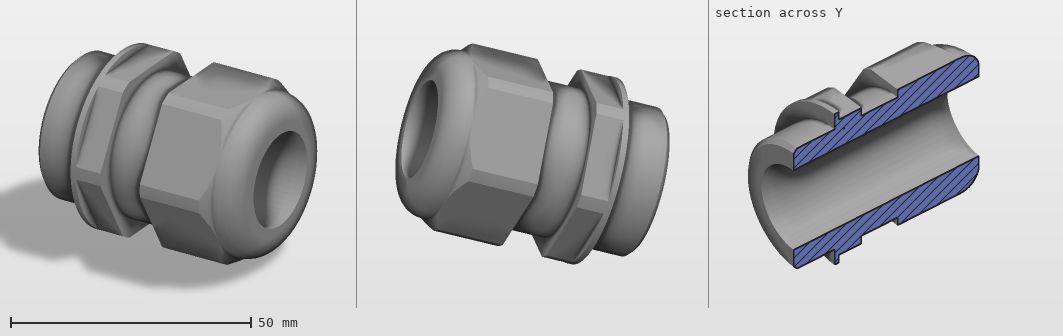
import cadquery as cq


total_length = 50.0
thread_chamfer = 1.0
flange_start = 11.0
flange_thickness = 1.3
body_hex_length = 6.0
nut_start = 28.0
nut_cone_start = 42.5
dome_radius = 5.0

bore_diameter = 21.0
thread_diameter = 32.0
flange_diameter = 40.0
hex_across_flats = 36.0
hex_turn = 30.0
dome_diameter = hex_across_flats

nut_cone_length = (flange_diameter - dome_diameter) / 2
nut_cone_end = nut_cone_start + nut_cone_length


def cylinder(start, end, diameter):
    """Round bar along X between two stations."""
    return cq.Workplane("YZ", origin=(start, 0, 0)).circle(diameter / 2).extrude(end - start)


def hexagon(start, end):
    """Hexagonal bar along X with flats facing up and down and its corners rounded off."""
    prism = (
        cq.Workplane("YZ", origin=(start, 0, 0))
        .transformed(rotate=(0, 0, hex_turn))
        .polygon(6, hex_across_flats, circumscribed=True)
        .extrude(end - start)
    )
    return prism.intersect(cylinder(start, end, flange_diameter))


def gland_body():
    """Chamfered thread barrel with its flange and wrench hexagon."""
    flange_end = flange_start + flange_thickness
    barrel = cylinder(0, nut_start, thread_diameter).faces("<X").chamfer(thread_chamfer)
    flange = cylinder(flange_start, flange_end, flange_diameter)
    return barrel.union(flange).union(hexagon(flange_end, flange_end + body_hex_length))


def cap_nut():
    """Hexagonal nut with tapered corners, ending in a rounded dome."""
    tapered_blank = cylinder(nut_start, nut_cone_end, flange_diameter).faces(">X").chamfer(nut_cone_length)
    hex_part = hexagon(nut_start, nut_cone_end).intersect(tapered_blank)
    dome = cylinder(nut_start, total_length, dome_diameter).faces(">X").edges().fillet(dome_radius)
    return hex_part.union(dome)


bore = cylinder(0, total_length, bore_diameter)
result = gland_body().union(cap_nut()).cut(bore)